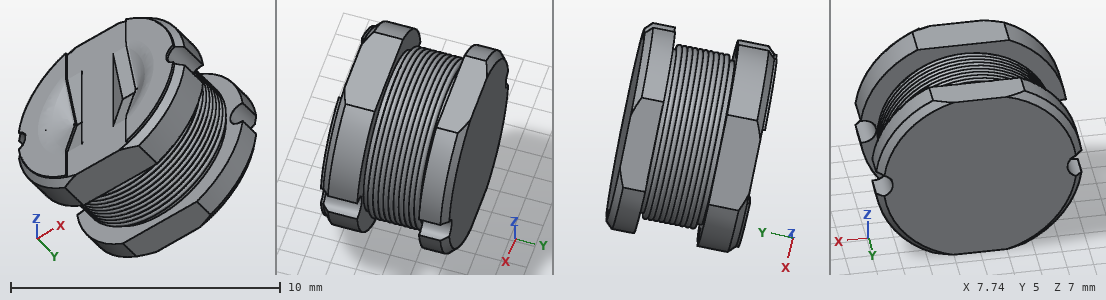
import cadquery as cq
import math

notch_radius = 0.495
notch_center_x = 3.785
overall_width = 7.74
flange_radius = math.hypot(overall_width / 2, notch_radius)

overall_length = 5.0
pad_thickness = 0.1
core_rear = overall_length / 2
core_front = -overall_length / 2 + pad_thickness
flat_height = 7.0
flange_chamfer = 0.26
rear_flange_thickness = 1.1
front_flange_thickness = 1.4
post_front = core_front + front_flange_thickness
post_rear = core_rear - rear_flange_thickness

sleeve_diameter = 6.2
sleeve_radius = sleeve_diameter / 2
turn_count = 10
winding_length = 2.0
wire_diameter = winding_length / turn_count
wire_radius = wire_diameter / 2
sleeve_thickness = wire_diameter
post_radius = sleeve_radius - sleeve_thickness
winding_front = (post_front + post_rear - winding_length) / 2

pad_inner_x = 1.41
pad_radius = flange_radius - flange_chamfer
groove_inner_x = 0.73
groove_depth = 0.59
groove_half_height = 2.0
dish_apex_x = 1.49
dish_reach_x = 2.415
pad_lip_radius = 1.0
selection_margin = 0.01


def cylinder_y(radius, start, end):
    """Cylinder around the Y axis between two Y positions."""
    return cq.Workplane("XZ", origin=(0, start, 0)).circle(radius).extrude(start - end)


def box_between(low, high):
    """Axis-aligned box given by two opposite corners."""
    size = [b - a for a, b in zip(low, high)]
    return cq.Workplane("XY").box(*size, centered=False).translate(low)


def notches(start, end):
    """The two side notches, as solids to cut away."""
    slot_length = 4 * notch_radius
    slot_shift = notch_center_x + slot_length / 2 - notch_radius
    return (
        cq.Workplane("XZ", origin=(0, start, 0))
        .pushPoints([(-slot_shift, 0), (slot_shift, 0)])
        .slot2D(slot_length, 2 * notch_radius)
        .extrude(start - end)
    )


def mirror_to_side(body, side):
    """Body built at +X, mirrored when side is -1."""
    return body if side > 0 else body.mirror("YZ")


def groove(face_y):
    """Recess at +X below face_y: a V groove that ends in half of an oblique cone.

    The cone's base circle passes through the ends of the V and through dish_reach_x.
    """
    apex_y = face_y + groove_depth
    v_groove = (
        cq.Workplane("YZ", origin=(groove_inner_x, 0, 0))
        .moveTo(face_y, -groove_half_height)
        .lineTo(apex_y, 0)
        .lineTo(face_y, groove_half_height)
        .close()
        .extrude(dish_apex_x - groove_inner_x)
    )
    base_rise = dish_reach_x - dish_apex_x
    base_face = (
        cq.Workplane("XZ", origin=(0, face_y, 0))
        .moveTo(dish_apex_x, -groove_half_height)
        .threePointArc((dish_reach_x, 0), (dish_apex_x, groove_half_height))
        .close()
    )
    base_radius = (groove_half_height**2 + base_rise**2) / (2 * base_rise)
    base_circle = cq.Wire.makeCircle(
        base_radius, cq.Vector(dish_reach_x - base_radius, face_y, 0), cq.Vector(0, 1, 0)
    )
    apex = cq.Vertex.makeVertex(dish_apex_x, apex_y, 0)
    cone = cq.Workplane(cq.occ_impl.shapes.loft(base_circle, apex, cap=True, ruled=True))
    dish = cone.intersect(base_face.extrude(-groove_depth))
    return v_groove.union(dish)


def make_core():
    front_flange = cylinder_y(flange_radius, core_front, post_front).faces("<Y").chamfer(flange_chamfer)
    rear_flange = cylinder_y(flange_radius, post_rear, core_rear).faces(">Y").chamfer(flange_chamfer)
    flats = box_between(
        (-flange_radius, core_front, -flat_height / 2), (flange_radius, core_rear, flat_height / 2)
    )
    core = front_flange.union(rear_flange).intersect(flats).cut(notches(core_front, core_rear))
    core = core.union(cylinder_y(post_radius, post_front, post_rear))
    for side in (-1, 1):
        core = core.cut(mirror_to_side(groove(core_front), side))
    return core


def make_sleeve():
    return cylinder_y(sleeve_radius, post_front, post_rear).cut(
        cylinder_y(post_radius, post_front, post_rear)
    )


def make_winding():
    """One layer of touching turns, solid between the wire centres and the sleeve."""
    wire_center_r = sleeve_radius + wire_radius
    profile = cq.Workplane("XY").moveTo(sleeve_radius, winding_front).lineTo(wire_center_r, winding_front)
    for turn in range(turn_count):
        turn_start = winding_front + turn * wire_diameter
        profile = profile.threePointArc(
            (wire_center_r + wire_radius, turn_start + wire_radius),
            (wire_center_r, turn_start + wire_diameter),
        )
    profile = profile.lineTo(sleeve_radius, winding_front + winding_length).close()
    return profile.revolve(360, (0, 0, 0), (0, 1, 0))


def make_pad(side):
    """Flat pad on the front face that follows the groove, with a rounded lip."""
    pad_front = core_front - pad_thickness
    pad_zone = box_between(
        (pad_inner_x, pad_front, -flange_radius),
        (flange_radius, core_front + groove_depth, flange_radius),
    )
    pad = cylinder_y(pad_radius, pad_front, core_front).cut(notches(pad_front, core_front))
    pad = pad.union(groove(core_front)).intersect(pad_zone).cut(groove(pad_front))
    lip_zone = cq.selectors.BoxSelector(
        (pad_inner_x + selection_margin, pad_front - selection_margin, -groove_half_height - selection_margin),
        (dish_reach_x + selection_margin, pad_front + selection_margin, groove_half_height + selection_margin),
    )
    pad = pad.edges(lip_zone).fillet(pad_lip_radius)
    return mirror_to_side(pad, side)


core = make_core()
sleeve = make_sleeve()
winding = make_winding()
pads = [make_pad(side) for side in (-1, 1)]

result = cq.Compound.makeCompound(
    [core.val(), sleeve.val(), winding.val(), *[pad.val() for pad in pads]]
)